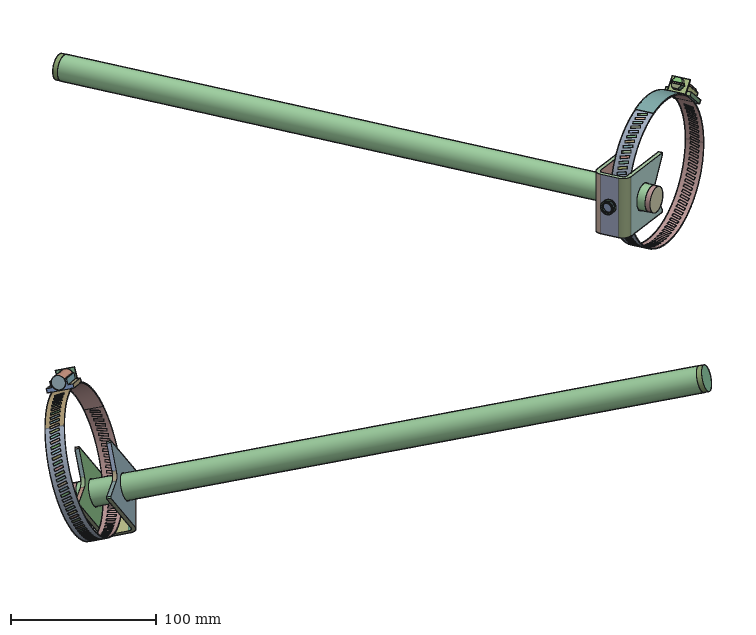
import cadquery as cq
import math


rod_diameter = 19.05
rod_length = 464.82
rod_right_end = 23.3
rod_left_end = rod_right_end - rod_length
cap_length = 3.81
cap_diameter = 18.8

bracket_width = 26.6
bracket_height = 44.8
bracket_thickness = 3.175
bracket_bend_radius = 6.3
bracket_back_y = -24.4
bracket_tip_y = 27.4
rod_hole_diameter = 19.81
notch_depth = 11.2
notch_tip_land = 1.5
notch_floor_height = 8.0
notch_floor_bulge = 1.0

screw_diameter = 4.76
thread_depth = 0.4
thread_pitch = 0.8
head_diameter = 10.0
head_neck_diameter = 8.0
head_flange_thickness = 0.4
head_length = 4.0
head_recess_diameter = 7.0
head_recess_depth = 1.5

band_outer_radius = 54.35
band_thickness = 0.6
band_width = 14.3
strap_step = 0.3
strap_start_angle = 50
strap_end_angle = 110
band_inner_radius = band_outer_radius - band_thickness
band_center_y = band_inner_radius - rod_diameter / 2
band_back_y = band_center_y - band_outer_radius

slot_length = 7.0
slot_width = 1.8
slot_depth = 0.3
slot_tilt = 15
slot_pitch_angle = 4
first_slot_angle = 113
last_slot_angle = 395

housing_angle = 50
saddle_width = 19.8
saddle_height = 3.0
saddle_start = -11
saddle_end = 7
block_width = 12.4
block_height = 7.5
barrel_diameter = 10.36
barrel_start = -12
barrel_end = 8
barrel_axis_radius = band_outer_radius + barrel_diameter / 2
end_plate_width = 14.0
end_plate_thickness = 1.0
worm_head_across_flats = 8.0
worm_head_end = 13.0
worm_head_slot_width = 1.2
worm_head_slot_depth = 1.5


def make_rod():
    body = cq.Workplane("YZ", origin=(rod_left_end + cap_length, 0, 0))
    body = body.circle(rod_diameter / 2).extrude(rod_length - 2 * cap_length)
    caps = cq.Workplane("YZ", origin=(rod_left_end, 0, 0)).circle(cap_diameter / 2).extrude(rod_length)
    return body.union(caps)


def make_bracket_channel():
    outer_length = bracket_tip_y - bracket_back_y
    middle_y = (bracket_tip_y + bracket_back_y) / 2
    outer = (
        cq.Workplane("XY", origin=(0, middle_y, 0))
        .box(bracket_width, outer_length, bracket_height)
        .edges("|Z and <Y")
        .fillet(bracket_bend_radius)
    )
    inner = (
        cq.Workplane("XY", origin=(0, middle_y + bracket_thickness, 0))
        .box(bracket_width - 2 * bracket_thickness, outer_length, bracket_height)
        .edges("|Z and <Y")
        .fillet(bracket_bend_radius - bracket_thickness)
    )
    return outer.cut(inner)


def make_leg_notch():
    mouth = bracket_height / 2 - notch_tip_land
    floor_half = notch_floor_height / 2
    floor_y = bracket_tip_y - notch_depth
    return (
        cq.Workplane("YZ")
        .moveTo(bracket_tip_y, mouth)
        .lineTo(floor_y + notch_floor_bulge, floor_half)
        .threePointArc((floor_y, 0), (floor_y + notch_floor_bulge, -floor_half))
        .lineTo(bracket_tip_y, -mouth)
        .close()
        .extrude(bracket_width, both=True)
    )


def make_screw():
    """Revolved about the Y axis: ringed shank, flanged head with a round recess."""
    shank_radius = screw_diameter / 2
    thread_length = band_back_y - (bracket_back_y + bracket_thickness)
    groove_count = math.floor(thread_length / thread_pitch)
    head_radius = head_diameter / 2
    neck_radius = head_neck_diameter / 2
    head_end = bracket_back_y - head_length
    profile = cq.Workplane("XY").moveTo(0, head_end).lineTo(head_radius, head_end)
    profile = profile.lineTo(head_radius, head_end + head_flange_thickness)
    profile = profile.lineTo(neck_radius, head_end + head_flange_thickness)
    profile = profile.lineTo(neck_radius, bracket_back_y - head_flange_thickness)
    profile = profile.lineTo(head_radius, bracket_back_y - head_flange_thickness)
    profile = profile.lineTo(head_radius, bracket_back_y).lineTo(shank_radius, bracket_back_y)
    for groove in range(groove_count, 0, -1):
        groove_start = band_back_y - groove * thread_pitch
        profile = profile.lineTo(shank_radius, groove_start)
        profile = profile.lineTo(shank_radius - thread_depth, groove_start + thread_pitch / 2)
    profile = profile.lineTo(shank_radius, band_back_y).lineTo(0, band_back_y).close()
    screw = profile.revolve(360, (0, 0, 0), (0, 1, 0))
    recess = cq.Workplane("XZ", origin=(0, head_end, 0)).circle(head_recess_diameter / 2)
    return screw.cut(recess.extrude(-head_recess_depth))


def make_bracket():
    rod_hole = cq.Workplane("YZ").circle(rod_hole_diameter / 2).extrude(bracket_width, both=True)
    return make_bracket_channel().cut(make_leg_notch()).cut(rod_hole).union(make_screw())


def at_band_angle(shape, angle):
    """Turn a shape built with r along +Y and t along +Z about the band axis."""
    return shape.rotate((0, 0, 0), (1, 0, 0), angle).translate((0, band_center_y, 0))


def make_strap():
    """Plain stretch of the band, standing a little proud of the grooved stretch."""
    sweep = strap_end_angle - strap_start_angle
    strap_outer_radius = band_outer_radius + strap_step
    strap = (
        cq.Workplane("XY")
        .moveTo(-band_width / 2, band_inner_radius)
        .lineTo(band_width / 2, band_inner_radius)
        .lineTo(band_width / 2, strap_outer_radius)
        .lineTo(-band_width / 2, strap_outer_radius)
        .close()
        .revolve(sweep, (0, 0, 0), (1, 0, 0))
    )
    return at_band_angle(strap, strap_start_angle)


def make_band():
    ring = (
        cq.Workplane("YZ", origin=(-band_width / 2, band_center_y, 0))
        .circle(band_outer_radius)
        .circle(band_inner_radius)
        .extrude(band_width)
    )
    slot = (
        cq.Workplane("XY", origin=(0, band_outer_radius, 0))
        .box(slot_length, 2 * slot_depth, slot_width)
        .rotate((0, 0, 0), (0, 1, 0), slot_tilt)
        .val()
    )
    slot_angles = range(first_slot_angle, last_slot_angle + 1, slot_pitch_angle)
    slots = cq.Compound.makeCompound([at_band_angle(slot, angle) for angle in slot_angles])
    return ring.cut(cq.Workplane(slots)).union(make_strap())


def make_worm_block(width, height, start, end):
    """Block that stands on the inside of the band, between two tangential positions."""
    return cq.Workplane("XY", origin=(0, band_inner_radius, start)).box(
        width, height, end - start, centered=(True, False, False)
    )


def make_worm_housing():
    saddle = make_worm_block(saddle_width, saddle_height, saddle_start, saddle_end)
    block = make_worm_block(block_width, block_height, saddle_start, saddle_end)
    plate_end = barrel_end + end_plate_thickness
    end_plate = make_worm_block(
        end_plate_width, band_thickness + barrel_diameter, barrel_end, plate_end
    )
    barrel = (
        cq.Workplane("XY", origin=(0, barrel_axis_radius, barrel_start))
        .circle(barrel_diameter / 2)
        .extrude(barrel_end - barrel_start)
    )
    corner_diameter = worm_head_across_flats / math.cos(math.pi / 6)
    head = (
        cq.Workplane("XY", origin=(0, barrel_axis_radius, barrel_end))
        .polygon(6, corner_diameter)
        .extrude(worm_head_end - barrel_end)
    )
    driver_slot = cq.Workplane("XY", origin=(0, barrel_axis_radius, worm_head_end)).box(
        corner_diameter, worm_head_slot_width, 2 * worm_head_slot_depth
    )
    housing = saddle.union(block).union(barrel).union(end_plate).union(head.cut(driver_slot))
    return at_band_angle(housing, housing_angle)


def make_clamp():
    return make_band().union(make_worm_housing())


rod = make_rod()
bracket = make_bracket()
clamp = make_clamp()
result = cq.Compound.makeCompound([rod.val(), bracket.val(), clamp.val()])